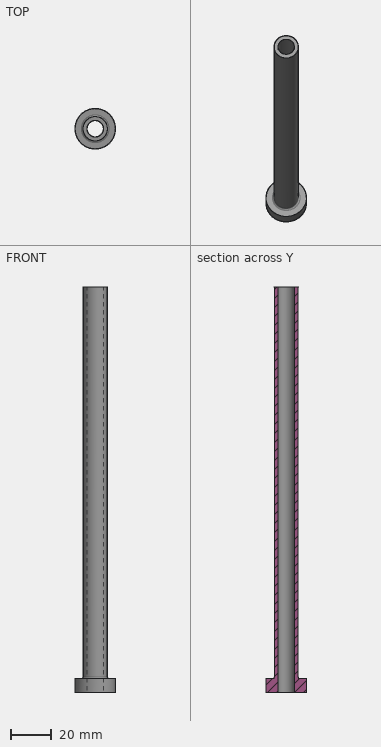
import cadquery as cq

total_length = 200.0
head_diameter = 20.0
head_height = 7.0
tube_diameter = 12.0
bore_diameter = 8.0
neck_fillet = 0.8


def cylinder(diameter, height):
    """Solid cylinder on the Z axis, rising from the base plane."""
    return cq.Workplane("XY").circle(diameter / 2).extrude(height)


body = cylinder(head_diameter, head_height).union(cylinder(tube_diameter, total_length))

head_top_edges = cq.selectors.BoxSelector(
    (-tube_diameter, -tube_diameter, head_height - neck_fillet),
    (tube_diameter, tube_diameter, head_height + neck_fillet),
)
smallest_circle = cq.selectors.RadiusNthSelector(0)
body = body.edges(head_top_edges).edges(smallest_circle).fillet(neck_fillet)

result = body.cut(cylinder(bore_diameter, total_length))